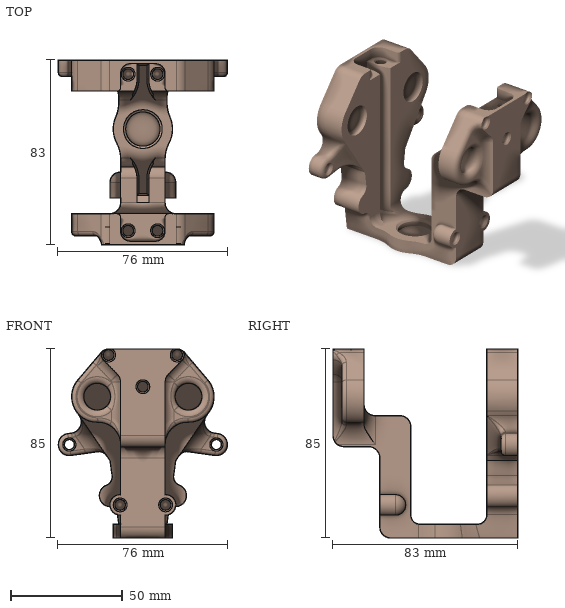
import cadquery as cq
import math


HEIGHT = 85.0
DEPTH = 83.0
PLATE = 14.0
BACK_Y = DEPTH - PLATE
CORE_HALF = 10.0
COLUMN_Y0 = 21.0
COLUMN_Y1 = COLUMN_Y0 + PLATE
SHELF_Z0 = 41.0
SHELF_Z1 = SHELF_Z0 + PLATE
FLOOR_Z = 6.3
BEND_R = 5.0
FLOOR_R = 4.0

CORNER = (15.0, 80.0)
CORNER_R = HEIGHT - CORNER[1]
LOBE = (20.5, 63.5)
LOBE_R = 11.5

PAD_Y = 4.0
PAD_EDGE_R = 2.0
PAD_HOLE_D = 12.0
PAD_HOLE_FLARE = 3.0
WEB_R = 10.0
RIB_BEND_R = 5.0
RIB_BEND_Z = 70.0
CORNER_HOLE = (15.4, 82.2)
CORNER_BOSS_R = 3.2
CORNER_BOSS_END = 60.0

LOBE_RECESS_D = 14.2
LOBE_RECESS_DEPTH = 3.2
LOBE_RECESS_R = 1.0

WAIST = (14.8, 34.8)
BULB = (14.6, 19.1)
BULB_R = 5.0
BULB_BLEND_R = 4.0

EAR = (33.0, 42.0)
EAR_R = 5.0
EAR_THICKNESS = 7.5
GUSSET_R = PLATE - EAR_THICKNESS
EAR_NECK_R = 5.0
EAR_TAPER = 8.0
EAR_ARCH_R = 4.0
EAR_EDGE_R = 2.0
EAR_HOLE_D = 4.4
EAR_HOLE_CHAMFER = 0.75

RING_Y = (COLUMN_Y1 + BACK_Y) / 2
RING_R = 13.35
RING_BLEND_R = 16.0
RECESS_D = 15.4
RECESS_DEPTH = 3.2
RECESS_CHAMFER = 1.0

POCKET_Z = 80.0
POCKET_WALL = 1.6
POCKET_CORNER_R = 4.5
POCKET_MOUTH_R = 1.6
CHANNEL_HALF = 2.65
CHANNEL_FLARE_START = 5.4
CHANNEL_FLARE_RUN = 9.4
CHANNEL_FLARE_SPREAD = 4.3
CHANNEL_CHAMFER = 0.9
COLUMN_CHANNEL_Y = 22.2
CHANNEL_RAMP = COLUMN_CHANNEL_Y - PLATE - BEND_R

INSERT_D = 4.8
INSERT_DEPTH = 8.0
INSERT_CHAMFER = 0.7
CENTRE_HOLE_Z = 68.0
POCKET_HOLE_X = 6.6
POCKET_HOLE_Y = 6.35
BOSS = (10.2, 14.9)
BOSS_R = 4.6
BOSS_LENGTH = 7.1

OVER = 1.0
SLACK = 0.01


def polar(centre, radius, degrees):
    angle = math.radians(degrees)
    return centre[0] + radius * math.cos(angle), centre[1] + radius * math.sin(angle)


def tangent_normal(c1, r1, c2, r2):
    """Angle in degrees of the normal shared by two circles at their outer tangent line."""
    dx = c1[0] - c2[0]
    dy = c1[1] - c2[1]
    spread = math.degrees(math.acos((r2 - r1) / math.hypot(dx, dy)))
    return math.degrees(math.atan2(dy, dx)) - spread


def xz_plane(y):
    """Workplane of X and Z at depth y; negative extrusions run toward +Y."""
    return cq.Workplane("XZ", origin=(0, y, 0))


def prism_y(sketch, length):
    return sketch.close().extrude(-length)


def nearest_edge(body, point):
    return body.edges(cq.selectors.NearestToPointSelector(point))


def round_edge(body, direction, point, radius):
    """Fillet the edge along `direction` whose centre is nearest to `point`."""
    return body.edges(direction).edges(cq.selectors.NearestToPointSelector(point)).fillet(radius)


def chamfered_hole(body, plane, diameter, depth, chamfer):
    """Drill a blind or through hole down from the plane's origin, with a countersunk rim."""
    radius = diameter / 2
    drill = plane.circle(radius).extrude(-depth)
    rim = plane.circle(radius + chamfer).workplane(offset=-chamfer).circle(radius).loft()
    return body.cut(drill).cut(rim)


def insert_hole(body, plane):
    return chamfered_hole(body, plane, INSERT_D, INSERT_DEPTH, INSERT_CHAMFER)


UPPER_NORMAL = tangent_normal(CORNER, CORNER_R, LOBE, LOBE_R)
LOWER_NORMAL = tangent_normal(LOBE, LOBE_R, WAIST, 0)


def start_upper_outline(y):
    """Outline from the top centre round the corner to the lobe."""
    corner_mid = polar(CORNER, CORNER_R, (90 + UPPER_NORMAL) / 2)
    return (
        xz_plane(y)
        .moveTo(0, HEIGHT)
        .lineTo(CORNER[0], HEIGHT)
        .threePointArc(corner_mid, polar(CORNER, CORNER_R, UPPER_NORMAL))
        .lineTo(*polar(LOBE, LOBE_R, UPPER_NORMAL))
    )


def side_profile(width):
    """Stepped profile of floor, column, shelf and front plate, extruded along +X."""
    points = [
        (RING_Y, 0), (COLUMN_Y0, 0), (COLUMN_Y0, SHELF_Z0), (0, SHELF_Z0), (0, HEIGHT),
        (PLATE, HEIGHT), (PLATE, SHELF_Z1), (COLUMN_Y1, SHELF_Z1), (COLUMN_Y1, FLOOR_Z), (RING_Y, FLOOR_Z),
    ]
    body = cq.Workplane("YZ").polyline(points).close().extrude(width)
    bends = [
        (COLUMN_Y0, 0, BEND_R), (COLUMN_Y0, SHELF_Z0, BEND_R), (0, SHELF_Z0, BEND_R),
        (COLUMN_Y1, SHELF_Z1, BEND_R), (COLUMN_Y1, FLOOR_Z, FLOOR_R),
    ]
    for y, z, radius in bends:
        body = round_edge(body, "|X", (width / 2, y, z), radius)
    return body


def pad_cutter():
    """Tool that lowers a pad, leaving a concave blend against the raised middle."""
    bend = (CORE_HALF + RIB_BEND_R, RIB_BEND_Z)
    dx = CORNER_HOLE[0] - bend[0]
    dz = CORNER_HOLE[1] - bend[1]
    slope_normal = math.degrees(
        math.atan2(dz, dx) + math.acos((RIB_BEND_R + CORNER_BOSS_R) / math.hypot(dx, dz))
    )
    bend_mid = polar(bend, RIB_BEND_R, (180 + slope_normal) / 2)
    boss_start = slope_normal + 180
    boss_mid = polar(CORNER_HOLE, CORNER_BOSS_R, (boss_start + CORNER_BOSS_END + 360) / 2)
    far = 2 * HEIGHT
    tool = prism_y(
        xz_plane(-OVER)
        .moveTo(CORE_HALF, 0)
        .lineTo(CORE_HALF, RIB_BEND_Z)
        .threePointArc(bend_mid, polar(bend, RIB_BEND_R, slope_normal))
        .lineTo(*polar(CORNER_HOLE, CORNER_BOSS_R, boss_start))
        .threePointArc(boss_mid, polar(CORNER_HOLE, CORNER_BOSS_R, CORNER_BOSS_END))
        .lineTo(*polar(CORNER_HOLE, far, CORNER_BOSS_END))
        .lineTo(far, 0),
        PAD_Y + OVER,
    )
    edge = nearest_edge(tool.faces(">Y"), (CORE_HALF, PAD_Y, RIB_BEND_Z / 2))
    return edge.fillet(PAD_Y)


def front_wing():
    """Half of the front plate with its recessed pad and flared hole."""
    web_x = CORE_HALF + WEB_R
    reach = LOBE_R + WEB_R
    web = (web_x, LOBE[1] - math.sqrt(reach**2 - (LOBE[0] - web_x) ** 2))
    web_angle = math.degrees(math.atan2(LOBE[1] - web[1], LOBE[0] - web_x))
    lobe_end = web_angle - 180
    wing = prism_y(
        start_upper_outline(0)
        .threePointArc(polar(LOBE, LOBE_R, (UPPER_NORMAL + lobe_end) / 2), polar(LOBE, LOBE_R, lobe_end))
        .threePointArc(polar(web, WEB_R, (180 + web_angle) / 2), (CORE_HALF, web[1]))
        .lineTo(CORE_HALF, SHELF_Z1)
        .lineTo(0, SHELF_Z1),
        PLATE,
    )
    wing = wing.intersect(side_profile(LOBE[0] + LOBE_R)).cut(pad_cutter())
    hole = xz_plane(0).center(*LOBE).circle(PAD_HOLE_D / 2).extrude(-PLATE)
    wing = wing.cut(hole)
    wing = nearest_edge(wing, (LOBE[0], PAD_Y, LOBE[1])).fillet(PAD_HOLE_FLARE)
    return nearest_edge(wing, (LOBE[0] + LOBE_R, PAD_Y, LOBE[1])).fillet(PAD_EDGE_R)


def ear():
    """Ear as thick as the plate: a round end with flanks that climb toward the plate."""
    inner_x = CORNER[0]
    rise = math.tan(math.radians(EAR_TAPER))
    top = polar(EAR, EAR_R, 90 - EAR_TAPER)
    low = polar(EAR, EAR_R, -90 - EAR_TAPER)
    return prism_y(
        xz_plane(BACK_Y)
        .moveTo(inner_x, low[1] + (low[0] - inner_x) * rise)
        .lineTo(*low)
        .threePointArc(polar(EAR, EAR_R, 0), top)
        .lineTo(inner_x, top[1] + (top[0] - inner_x) * rise),
        PLATE,
    )


def gusset_cutter():
    """Tool that thins the ear and sweeps a concave blend up to the plate's lower flank."""
    start = polar(LOBE, LOBE_R, LOWER_NORMAL)
    angle = math.radians(LOWER_NORMAL)
    outward = (math.cos(angle), 0, math.sin(angle))
    along = (math.sin(angle), 0, -math.cos(angle))
    length = math.hypot(start[0] - WAIST[0], start[1] - WAIST[1])
    flank = cq.Plane(origin=(start[0], BACK_Y, start[1]), xDir=outward, normal=along)
    return (
        cq.Workplane(flank)
        .moveTo(0, 0)
        .threePointArc(polar((GUSSET_R, 0), GUSSET_R, 225), (GUSSET_R, -GUSSET_R))
        .lineTo(HEIGHT, -GUSSET_R)
        .lineTo(HEIGHT, 0)
        .close()
        .extrude(length)
    )


def back_plate():
    """Half of the back plate with its bulb and ear."""
    middle_y = BACK_Y + PLATE / 2
    lobe_mid = polar(LOBE, LOBE_R, (UPPER_NORMAL + LOWER_NORMAL) / 2)
    plate = prism_y(
        start_upper_outline(BACK_Y)
        .threePointArc(lobe_mid, polar(LOBE, LOBE_R, LOWER_NORMAL))
        .lineTo(*WAIST)
        .lineTo(CORE_HALF, 0)
        .lineTo(0, 0),
        PLATE,
    )
    bulb = xz_plane(BACK_Y).center(*BULB).circle(BULB_R).extrude(-PLATE)
    plate = plate.union(bulb)
    plate = round_edge(plate, "|Y", (BULB[0], middle_y, BULB[1] + BULB_R), BULB_BLEND_R)
    plate = round_edge(plate, "|Y", (CORE_HALF, middle_y, BULB[1] - BULB_R), BULB_BLEND_R)

    plate = plate.union(ear())
    neck_x = (CORNER[0] + EAR[0]) / 2
    plate = round_edge(plate, "|Y", (neck_x, middle_y, EAR[1] + EAR_R), EAR_NECK_R)
    plate = round_edge(plate, "|Y", (LOBE[0], middle_y, EAR[1] - EAR_R), EAR_ARCH_R)
    plate = plate.cut(gusset_cutter())
    return nearest_edge(plate, (EAR[0] + EAR_R, BACK_Y + GUSSET_R, EAR[1])).fillet(EAR_EDGE_R)


def floor_ring():
    """Half of the floor: a disc blended into the strips that reach the column and back plate."""
    taper = FLOOR_Z * (WAIST[0] - CORE_HALF) / WAIST[1]
    strip = prism_y(
        xz_plane(RING_Y).lineTo(CORE_HALF, 0).lineTo(CORE_HALF + taper, FLOOR_Z).lineTo(0, FLOOR_Z),
        BACK_Y - RING_Y,
    )
    front_strip = cq.Workplane().box(CORE_HALF, RING_Y - COLUMN_Y1, FLOOR_Z, centered=False)
    disc = cq.Workplane().circle(RING_R).extrude(FLOOR_Z)
    half_space = cq.Workplane().box(2 * RING_R, 2 * RING_R, FLOOR_Z, centered=(False, True, False))
    floor = strip.union(front_strip.translate((0, COLUMN_Y1, 0)))
    floor = floor.union(disc.intersect(half_space).translate((0, RING_Y, 0)))
    crease_offset = math.sqrt(RING_R**2 - CORE_HALF**2)
    for y in (RING_Y - crease_offset, RING_Y + crease_offset):
        floor = round_edge(floor, "not #Z", (CORE_HALF, y, FLOOR_Z / 2), RING_BLEND_R)
    return floor


def channel_cutter(face_y, inward, end_y):
    """Vertical wire channel, flaring open toward the floor ring, with a chamfered foot."""
    flare_start = face_y + inward * CHANNEL_FLARE_START
    flare_end = flare_start - inward * CHANNEL_FLARE_RUN
    flare_x = CHANNEL_HALF + CHANNEL_FLARE_SPREAD
    tool = (
        cq.Workplane("XY", origin=(0, 0, FLOOR_Z))
        .moveTo(0, end_y)
        .lineTo(CHANNEL_HALF, end_y)
        .lineTo(CHANNEL_HALF, flare_start)
        .tangentArcPoint((flare_x, flare_end), relative=False)
        .lineTo(0, flare_end)
        .mirrorY()
        .extrude(HEIGHT)
    )
    floor_edges = tool.faces("<Z").edges()
    flare_end_edge = cq.selectors.NearestToPointSelector((0, flare_end, FLOOR_Z))
    return floor_edges.edges(cq.selectors.InverseSelector(flare_end_edge)).chamfer(CHANNEL_CHAMFER)


def channel_ramp():
    """Slope that leads the column's channel up onto the shelf."""
    ramp_points = [
        (COLUMN_CHANNEL_Y, SHELF_Z1),
        (COLUMN_CHANNEL_Y, SHELF_Z1 - CHANNEL_RAMP),
        (COLUMN_CHANNEL_Y - CHANNEL_RAMP, SHELF_Z1),
    ]
    return cq.Workplane("YZ").polyline(ramp_points).close().extrude(CHANNEL_HALF, both=True)


def top_pocket(face_y, inward):
    """Pocket in a plate's top, open to the inner face, with rounded mouth edges."""
    back_y = face_y + inward * (PLATE - POCKET_WALL)
    corner_y = back_y - inward * POCKET_CORNER_R
    return (
        cq.Workplane("XY", origin=(0, 0, POCKET_Z))
        .moveTo(0, back_y)
        .lineTo(CORE_HALF - POCKET_CORNER_R, back_y)
        .tangentArcPoint((CORE_HALF, corner_y), relative=False)
        .lineTo(CORE_HALF, face_y + inward * POCKET_MOUTH_R)
        .tangentArcPoint((CORE_HALF + POCKET_MOUTH_R, face_y), relative=False)
        .lineTo(0, face_y)
        .mirrorY()
        .extrude(HEIGHT)
    )


def lobe_recess(face_y, inward):
    """Shallow round recess with a rounded floor edge, sunk from a plate's inner face."""
    floor = ">Y" if inward > 0 else "<Y"
    tool = xz_plane(face_y).center(*LOBE).circle(LOBE_RECESS_D / 2).extrude(-inward * LOBE_RECESS_DEPTH)
    return tool.faces(floor).edges().fillet(LOBE_RECESS_R)


def domed_boss():
    """Boss on the side of the column with a hemispherical inner end."""
    tip_y = COLUMN_Y0 + BOSS_LENGTH
    boss = xz_plane(COLUMN_Y0).center(*BOSS).circle(BOSS_R).extrude(-BOSS_LENGTH)
    dome = cq.Workplane(origin=(BOSS[0], tip_y, BOSS[1])).sphere(BOSS_R)
    return boss.union(dome)


def build_half():
    body = side_profile(CORE_HALF).union(front_wing())
    shelf_joint = cq.selectors.BoxSelector(
        (-OVER, PLATE - SLACK, SHELF_Z0 + OVER),
        (CORE_HALF + SLACK, PLATE + SLACK, SHELF_Z1 + SLACK),
    )
    body = body.edges(shelf_joint).fillet(BEND_R)
    body = body.union(back_plate()).union(floor_ring())
    body = round_edge(body, "|X", (CORE_HALF / 2, BACK_Y, FLOOR_Z), FLOOR_R)
    body = body.union(domed_boss())

    for x, y, z in ((CORNER_HOLE[0], 0, CORNER_HOLE[1]), (BOSS[0], COLUMN_Y0, BOSS[1])):
        body = insert_hole(body, cq.Workplane("XZ", origin=(x, y, z)))
    ear_plane = cq.Workplane("XZ", origin=(EAR[0], DEPTH - EAR_THICKNESS, EAR[1]))
    body = chamfered_hole(body, ear_plane, EAR_HOLE_D, EAR_THICKNESS, EAR_HOLE_CHAMFER)
    return body.cut(lobe_recess(BACK_Y, 1)).cut(lobe_recess(PLATE, -1))


def cut_middle(body):
    """Cut the channel, pockets, holes and recess that lie along the middle of the part."""
    body = body.cut(channel_cutter(BACK_Y, 1, DEPTH - POCKET_WALL))
    body = body.cut(channel_cutter(COLUMN_Y1, -1, COLUMN_CHANNEL_Y))
    body = body.cut(channel_ramp())
    body = body.cut(top_pocket(BACK_Y, 1)).cut(top_pocket(PLATE, -1))

    for x in (-POCKET_HOLE_X, POCKET_HOLE_X):
        for y in (POCKET_HOLE_Y, DEPTH - POCKET_HOLE_Y):
            body = insert_hole(body, cq.Workplane("XY", origin=(x, y, POCKET_Z)))
    body = insert_hole(body, cq.Workplane("XZ", origin=(0, 0, CENTRE_HOLE_Z)))
    recess = cq.Workplane("XY", origin=(0, RING_Y, FLOOR_Z))
    return chamfered_hole(body, recess, RECESS_D, RECESS_DEPTH, RECESS_CHAMFER)


half = build_half()
result = cut_middle(half.union(half.mirror("YZ")))